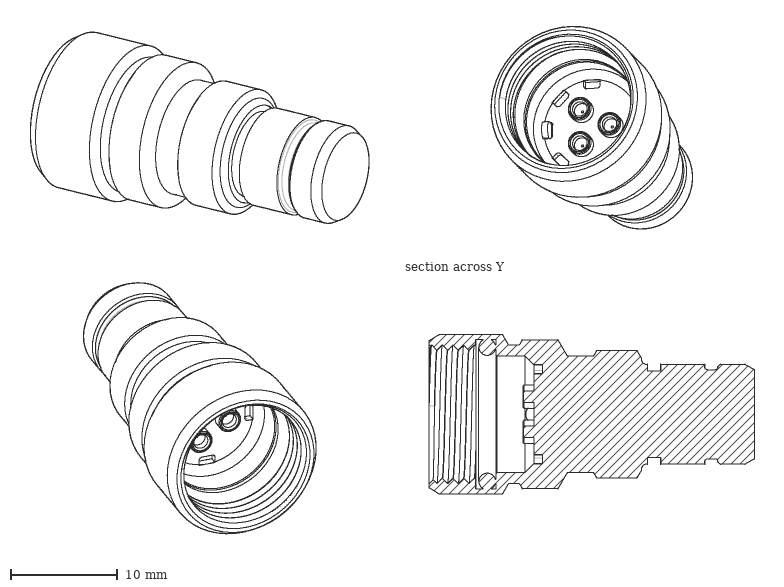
import cadquery as cq
import math

LENGTH = 30.5
NUT_RADIUS = 7.5
FRONT_RADIUS = 6.9
FRONT_CHAMFER_LENGTH = 0.95
NUT_END = 6.9
NECK_RADIUS = 6.5
COLLAR_START = 8.45
COLLAR_RADIUS = 7.0
COLLAR_END = 12.1
WAIST_RADIUS = 5.5
FLANGE_START = 15.42
FLANGE_RADIUS = 6.0
FLANGE_END = 19.5
COVE_START = 19.93
COVE_MID = (20.07, 4.83)
COVE_END = 20.49
TAIL_RADIUS = 4.7
UNDERCUT_END = 21.7
UNDERCUT_RADIUS = 4.1
RING_GROOVE_START = 25.85
RING_GROOVE_END = 27.05
RING_GROOVE_RADIUS = 4.2
RING_GROOVE_FILLET = 0.25
RING_GROOVE_LIP_RADIUS = 4.5
RING_GROOVE_LIP_LENGTH = 0.25
TAIL_CHAMFER_LENGTH = 0.9
TAIL_END_RADIUS = 4.2
SHOULDER_ANGLE = 60.0

THREAD_PITCH = 1.0
THREAD_ROOT_RADIUS = 6.5
THREAD_CREST_RADIUS = 6.0
THREAD_CREST_FLAT = 0.04
THREAD_FLANK_OVERLAP = 0.01
THREAD_BASE_OVERLAP = 0.1
THREAD_START = -1.0
THREAD_TURNS = 6
SEAL_GROOVE_START = 4.4
SEAL_GROOVE_END = 6.28
SEAL_GROOVE_RADIUS = 7.0
SEAL_SECTION_RADIUS = 0.8
SEAL_RING_RADIUS = 6.3
SEAL_CENTRE_X = 5.46
BORE_END = 9.0
BORE_RADIUS = 5.45
BORE_CHAMFER = 0.1
FACE_RADIUS = 4.63
FACE_X = BORE_END + BORE_RADIUS - FACE_RADIUS

KEYWAY_ANGLES = (0, 45, 90, 180, 270, 315)
KEYWAY_WIDTH = 1.6
KEYWAY_INNER_RADIUS = 3.8
KEYWAY_CORNER_RADIUS = 0.3
KEYWAY_DEPTH = 0.8
KEY_INNER_RADIUS = 4.1
KEY_OUTER_RADIUS = 4.68
KEY_NOSE_RADIUS = 0.9
KEY_HEIGHT = 0.75
CONTACT_CIRCLE_RADIUS = 1.91
CONTACT_ANGLES = (60, 180, 300)
CONTACT_RADIUS = 1.1
CONTACT_HEIGHT = 1.0
CONTACT_CHAMFER = 0.1
FUNNEL_RADIUS = 0.88
SOCKET_RADIUS = 0.7
SOCKET_LENGTH = 0.7
SOCKET_TIP_RADIUS = 0.1
SOCKET_TIP_ANGLE = 120.0


def shoulder_run(radius_a, radius_b):
    """Axial length of a shoulder cone between two radii."""
    return abs(radius_a - radius_b) / math.tan(math.radians(SHOULDER_ANGLE))


def revolve_about_x(profile):
    return profile.close().revolve(360, (0, 0, 0), (1, 0, 0))


def at_angle(body, angle):
    """Turn a body built along +Y about the X axis towards +Z."""
    return body.rotate((0, 0, 0), (1, 0, 0), angle)


def make_shell():
    fillet = RING_GROOVE_FILLET
    fillet_mid = fillet * (1 - math.sqrt(0.5))
    floor = RING_GROOVE_RADIUS
    shoulder_slope = math.tan(math.radians(SHOULDER_ANGLE))
    cove_start_radius = FLANGE_RADIUS - (COVE_START - FLANGE_END) * shoulder_slope
    profile = (
        cq.Workplane("XY")
        .lineTo(0, FRONT_RADIUS)
        .lineTo(FRONT_CHAMFER_LENGTH, NUT_RADIUS)
        .lineTo(NUT_END, NUT_RADIUS)
        .lineTo(NUT_END + shoulder_run(NUT_RADIUS, NECK_RADIUS), NECK_RADIUS)
        .lineTo(COLLAR_START, NECK_RADIUS)
        .lineTo(COLLAR_START + shoulder_run(NECK_RADIUS, COLLAR_RADIUS), COLLAR_RADIUS)
        .lineTo(COLLAR_END, COLLAR_RADIUS)
        .lineTo(COLLAR_END + shoulder_run(COLLAR_RADIUS, WAIST_RADIUS), WAIST_RADIUS)
        .lineTo(FLANGE_START, WAIST_RADIUS)
        .lineTo(FLANGE_START + shoulder_run(WAIST_RADIUS, FLANGE_RADIUS), FLANGE_RADIUS)
        .lineTo(FLANGE_END, FLANGE_RADIUS)
        .lineTo(COVE_START, cove_start_radius)
        .threePointArc(COVE_MID, (COVE_END, TAIL_RADIUS))
        .lineTo(COVE_END, UNDERCUT_RADIUS)
        .lineTo(UNDERCUT_END, UNDERCUT_RADIUS)
        .lineTo(UNDERCUT_END, TAIL_RADIUS)
        .lineTo(RING_GROOVE_START, TAIL_RADIUS)
        .lineTo(RING_GROOVE_START, floor + fillet)
        .threePointArc(
            (RING_GROOVE_START + fillet_mid, floor + fillet_mid),
            (RING_GROOVE_START + fillet, floor),
        )
        .lineTo(RING_GROOVE_END - fillet, floor)
        .threePointArc(
            (RING_GROOVE_END - fillet_mid, floor + fillet_mid),
            (RING_GROOVE_END, floor + fillet),
        )
        .lineTo(RING_GROOVE_END, RING_GROOVE_LIP_RADIUS)
        .lineTo(RING_GROOVE_END + RING_GROOVE_LIP_LENGTH, TAIL_RADIUS)
        .lineTo(LENGTH - TAIL_CHAMFER_LENGTH, TAIL_RADIUS)
        .lineTo(LENGTH, TAIL_END_RADIUS)
        .lineTo(LENGTH, 0)
    )
    return revolve_about_x(profile)


def make_mouth():
    """Cavity behind the mouth chamfer: thread bore, seal groove, deep bore and lead-in cone."""
    chamfer = THREAD_ROOT_RADIUS - THREAD_CREST_RADIUS
    profile = (
        cq.Workplane("XY")
        .lineTo(0, THREAD_ROOT_RADIUS)
        .lineTo(chamfer, THREAD_CREST_RADIUS)
        .lineTo(SEAL_GROOVE_START, THREAD_CREST_RADIUS)
        .lineTo(SEAL_GROOVE_START, SEAL_GROOVE_RADIUS)
        .lineTo(SEAL_GROOVE_END, SEAL_GROOVE_RADIUS)
        .lineTo(SEAL_GROOVE_END, BORE_RADIUS + BORE_CHAMFER)
        .lineTo(SEAL_GROOVE_END + BORE_CHAMFER, BORE_RADIUS)
        .lineTo(BORE_END, BORE_RADIUS)
        .lineTo(FACE_X, FACE_RADIUS)
        .lineTo(FACE_X, 0)
    )
    return revolve_about_x(profile)


def make_thread_groove():
    """Right-hand 90 degree V groove, run out of the mouth in front and into the seal groove behind."""
    root_radius = THREAD_CREST_RADIUS + (THREAD_PITCH - THREAD_CREST_FLAT) / 2
    flank_radius = THREAD_CREST_RADIUS - THREAD_FLANK_OVERLAP
    base_radius = THREAD_CREST_RADIUS - THREAD_BASE_OVERLAP
    half_width = root_radius - flank_radius
    path = cq.Wire.makeHelix(THREAD_PITCH, THREAD_TURNS * THREAD_PITCH, THREAD_CREST_RADIUS)
    groove = (
        cq.Workplane("XZ")
        .moveTo(base_radius, -half_width)
        .lineTo(flank_radius, -half_width)
        .lineTo(root_radius, 0)
        .lineTo(flank_radius, half_width)
        .lineTo(base_radius, half_width)
        .close()
        .sweep(path, isFrenet=True)
    )
    return groove.rotate((0, 0, 0), (1, 1, 1), 120).translate((THREAD_START, 0, 0))


def make_seal():
    section = cq.Workplane("XY").center(SEAL_CENTRE_X, SEAL_RING_RADIUS).circle(SEAL_SECTION_RADIUS)
    return section.revolve(360, (0, -SEAL_RING_RADIUS, 0), (1, -SEAL_RING_RADIUS, 0))


def make_keyway():
    radial = FACE_RADIUS - KEYWAY_INNER_RADIUS
    return (
        cq.Workplane("XY")
        .box(KEYWAY_DEPTH, radial, KEYWAY_WIDTH, centered=(False, False, True))
        .edges("|X and <Y")
        .fillet(KEYWAY_CORNER_RADIUS)
        .translate((FACE_X, KEYWAY_INNER_RADIUS, 0))
    )


def make_key():
    """Key standing in the +Y keyway, with a nose rounded about a radial axis."""
    half_width = KEYWAY_WIDTH / 2
    tip_x = FACE_X - KEY_HEIGHT
    sag = KEY_NOSE_RADIUS - math.sqrt(KEY_NOSE_RADIUS**2 - half_width**2)
    base_x = FACE_X + KEYWAY_DEPTH
    return (
        cq.Workplane("XZ", origin=(0, KEY_OUTER_RADIUS, 0))
        .moveTo(base_x, -half_width)
        .lineTo(tip_x + sag, -half_width)
        .threePointArc((tip_x, 0), (tip_x + sag, half_width))
        .lineTo(base_x, half_width)
        .close()
        .extrude(KEY_OUTER_RADIUS - KEY_INNER_RADIUS)
    )


def make_contact():
    """Chamfered contact tube, still solid, standing out of the insert face along the X axis."""
    return (
        cq.Workplane("YZ", origin=(FACE_X - CONTACT_HEIGHT, 0, 0))
        .circle(CONTACT_RADIUS)
        .extrude(CONTACT_HEIGHT)
        .faces("<X")
        .chamfer(CONTACT_CHAMFER)
    )


def make_socket():
    """Cavity of a contact: 45 degree funnel, straight bore and conical bottom with a small flat tip."""
    end_x = FACE_X - CONTACT_HEIGHT
    bore_start = end_x + FUNNEL_RADIUS - SOCKET_RADIUS
    bore_end = bore_start + SOCKET_LENGTH
    tip_slope = math.tan(math.radians(SOCKET_TIP_ANGLE / 2))
    tip_x = bore_end + (SOCKET_RADIUS - SOCKET_TIP_RADIUS) / tip_slope
    profile = (
        cq.Workplane("XY")
        .moveTo(end_x, 0)
        .lineTo(end_x, FUNNEL_RADIUS)
        .lineTo(bore_start, SOCKET_RADIUS)
        .lineTo(bore_end, SOCKET_RADIUS)
        .lineTo(tip_x, SOCKET_TIP_RADIUS)
        .lineTo(tip_x, 0)
    )
    return revolve_about_x(profile)


def on_contact_circle(body, angle):
    return at_angle(body.translate((0, CONTACT_CIRCLE_RADIUS, 0)), angle)


result = make_shell().cut(make_mouth()).cut(make_thread_groove()).union(make_seal())
for keyway_angle in KEYWAY_ANGLES:
    result = result.cut(at_angle(make_keyway(), keyway_angle))
result = result.union(make_key())
for contact_angle in CONTACT_ANGLES:
    result = result.union(on_contact_circle(make_contact(), contact_angle))
    result = result.cut(on_contact_circle(make_socket(), contact_angle))